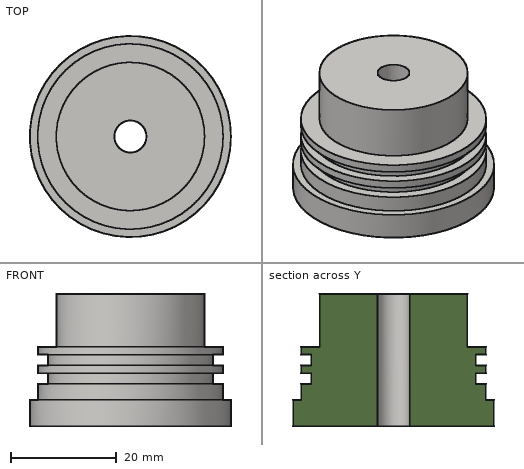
import cadquery as cq

flange_diameter = 38.0
body_diameter = 35.0
groove_diameter = 31.2
boss_diameter = 28.0
bore_diameter = 6.0

flange_height = 5.0
shoulder_height = 3.0
groove_width = 2.0
land_width = 1.5
groove_count = 2
boss_height = 10.0

groove_pitch = groove_width + land_width
body_height = shoulder_height + groove_count * groove_pitch
total_height = flange_height + body_height + boss_height


def cylinder(diameter, height, base_z):
    """Solid cylinder on the Z axis, standing on base_z."""
    return cq.Workplane("XY").workplane(offset=base_z).circle(diameter / 2).extrude(height)


def ring_groove(base_z):
    """Ring of material removed from the body to form one groove."""
    return cylinder(body_diameter, groove_width, base_z).cut(
        cylinder(groove_diameter, groove_width, base_z)
    )


result = cylinder(flange_diameter, flange_height, 0)
result = result.union(cylinder(body_diameter, body_height, flange_height))
result = result.union(cylinder(boss_diameter, boss_height, flange_height + body_height))

first_groove_z = flange_height + shoulder_height
for index in range(groove_count):
    result = result.cut(ring_groove(first_groove_z + index * groove_pitch))

result = result.cut(cylinder(bore_diameter, total_height, 0))